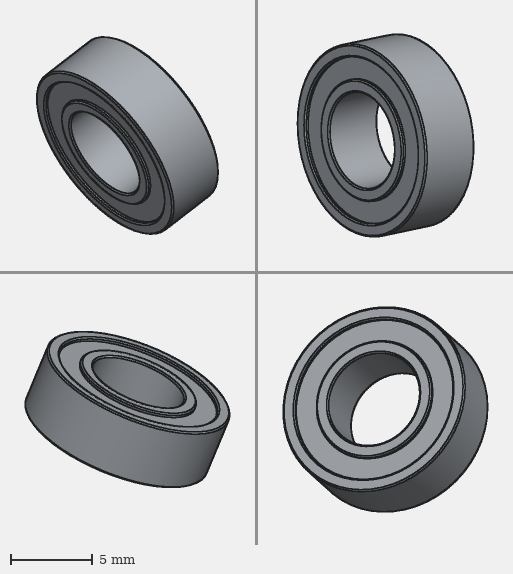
import cadquery as cq

outer_diameter = 12.0
bore_diameter = outer_diameter / 2
width = outer_diameter / 3
seal_outer_radius = 5.2
seal_inner_radius = 3.8
edge_chamfer = 0.1
seal_recess = 0.25

outer_radius = outer_diameter / 2
bore_radius = bore_diameter / 2
seal_width = width - 2 * seal_recess


def tube(inner_radius, outer_radius, length):
    """Plain ring around the Y axis, centred on the XZ plane."""
    return (
        cq.Workplane("XZ", origin=(0, length / 2, 0))
        .circle(outer_radius)
        .circle(inner_radius)
        .extrude(length)
    )


def chamfered_ring(inner_radius, outer_radius):
    """Full-width ring with all four circular edges chamfered."""
    return tube(inner_radius, outer_radius, width).faces("<Y or >Y").edges().chamfer(edge_chamfer)


def make_inner_ring():
    return chamfered_ring(bore_radius, seal_inner_radius)


def make_sealed_outer_ring():
    """Outer ring and the recessed seal that reaches in to the inner ring."""
    seal = tube(seal_inner_radius, seal_outer_radius, seal_width)
    return chamfered_ring(seal_outer_radius, outer_radius).union(seal)


inner_ring = make_inner_ring()
sealed_outer_ring = make_sealed_outer_ring()

result = cq.Compound.makeCompound([inner_ring.val(), sealed_outer_ring.val()])